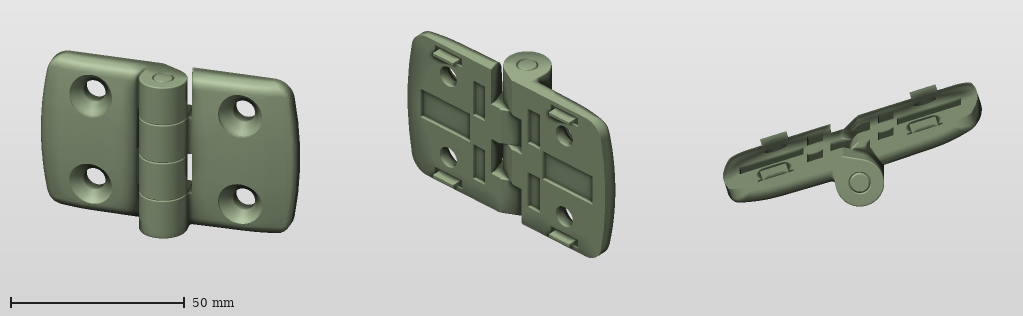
import cadquery as cq
import math

HEIGHT = 48.0
TILT = 11.6
BACK = 9.0

LEAF_REACH = 38.4
END_BOW_RADIUS = 107.15
CORNER_RADIUS = 6.1
CROWN_RADIUS = 173.25
EDGE_RADIUS = 3.95
FRONT_DEPTH = 0.8
FRONT_SLOPE = 1.2
FRONT_SWEEP_RADIUS = 50.9
END_ROUND = 1.45
PLATE_ROOT = 4.55

KNUCKLE_RADIUS = 7.0
KNUCKLE_COUNT = 4
KNUCKLE_EDGE_ROUND = 0.4
WALL_LEAN = 5
WEB_BACK_EDGE = 2.1
COVE_RADIUS = 1.1

RECESS_BACK = 5.9
RECESS_FRONT = 8.35
RECESS_CLEARANCE = 0.4
RECESS_EDGE_ROUND = 0.4

PIN_DIAMETER = 6.0
PIN_CHAMFER = 0.45
BORE_CHAMFER = 0.3

HOLE_DIAMETER = 6.6
HEAD_DIAMETER = 13.1
HEAD_DEPTH = 2.4
HOLE_U = 22.5
HOLE_Z = 14.0

POCKET_INNER = 14.05
POCKET_OUTER = 33.35
POCKET_HEIGHT = 9.8
POCKET_DEPTH = 1.2
SLOT_INNER = 8.3
SLOT_OUTER = 13.0
SLOT_LOW = 5.0
SLOT_HIGH = 17.0
RIB_Z = 21.1
RIB_LENGTH = 7.8
RIB_WIDTH = 0.9
RIB_HEIGHT = 2.35
RIB_POCKET_LENGTH = 10.65
RIB_POCKET_WIDTH = 3.0
RIB_POCKET_DEPTH = 0.75

HALF_HEIGHT = HEIGHT / 2
ROW = HEIGHT / KNUCKLE_COUNT
EXTRA = 3.8
MARGIN = 0.1
PICK_BAND = 3.05
OWN_ROWS = range(1, KNUCKLE_COUNT, 2)
OTHER_ROWS = range(0, KNUCKLE_COUNT, 2)


def box_selector(u_range, v_range, z_range):
    """Picks what has its centre inside a box."""
    return cq.selectors.BoxSelector(*zip(u_range, v_range, z_range))


def centred(middle, length):
    return (middle - length / 2, middle + length / 2)


def row_bottom(row):
    return HALF_HEIGHT - (row + 1) * ROW


def bowed_edge(bow_radius, corner_radius):
    """Corner points of a bowed edge spanning the full height.

    Distances are measured back from the crest of the bow. Returns the point where the
    bow meets the corner arc, the middle of the corner arc and its end on the side.
    """
    centre_side = HALF_HEIGHT - corner_radius
    centre_back = bow_radius - math.sqrt((bow_radius - corner_radius) ** 2 - centre_side ** 2)
    join_angle = math.asin(centre_side / (bow_radius - corner_radius))

    def on_corner(angle):
        back = centre_back - corner_radius * math.cos(angle)
        return back, centre_side + corner_radius * math.sin(angle)

    middle_angle = (join_angle + math.pi / 2) / 2
    return on_corner(join_angle), on_corner(middle_angle), on_corner(math.pi / 2)


def bowed_outline(plane, bow_radius, corner_radius, place):
    """Closed outline with a bowed, round-cornered edge; `place` maps distance back to the plane."""
    join, middle, side = bowed_edge(bow_radius, corner_radius)
    rear = HALF_HEIGHT

    def point(back, z):
        return place(back), z

    return (
        cq.Workplane(plane)
        .moveTo(*point(rear, -HALF_HEIGHT))
        .lineTo(*point(side[0], -HALF_HEIGHT))
        .threePointArc(point(middle[0], -middle[1]), point(join[0], -join[1]))
        .threePointArc(point(0, 0), point(*join))
        .threePointArc(point(*middle), point(side[0], HALF_HEIGHT))
        .lineTo(*point(rear, HALF_HEIGHT))
        .close()
    )


IN_FRONT_OF_BACK = box_selector((-HEIGHT, HEIGHT), (-HEIGHT, BACK - MARGIN), (-HEIGHT, HEIGHT))


def upright_box(u_range, v_range, z_range):
    size = [high - low for low, high in (u_range, v_range, z_range)]
    corner = (u_range[0], v_range[0], z_range[0])
    return cq.Workplane("XY").box(*size, centered=False).translate(corner)


def plate_body():
    """Plate with a crowned front, a bowed outer end and a flat back, along +U."""
    slope = math.radians(FRONT_SLOPE)
    bend = (HOLE_U, FRONT_DEPTH + HOLE_U * math.tan(slope))
    bend_centre = (
        bend[0] - FRONT_SWEEP_RADIUS * math.sin(slope),
        bend[1] + FRONT_SWEEP_RADIUS * math.cos(slope),
    )

    def on_bend(angle):
        return (
            bend_centre[0] + FRONT_SWEEP_RADIUS * math.sin(angle),
            bend_centre[1] - FRONT_SWEEP_RADIUS * math.cos(angle),
        )

    last_angle = math.asin((LEAF_REACH + EXTRA - bend_centre[0]) / FRONT_SWEEP_RADIUS)
    path = (
        cq.Workplane("XY")
        .moveTo(0, FRONT_DEPTH)
        .lineTo(*bend)
        .threePointArc(on_bend((slope + last_angle) / 2), on_bend(last_angle))
    )
    section_plane = cq.Plane(
        origin=(0, FRONT_DEPTH, 0),
        xDir=(-math.sin(slope), math.cos(slope), 0),
        normal=(math.cos(slope), math.sin(slope), 0),
    )
    section = bowed_outline(section_plane, CROWN_RADIUS, EDGE_RADIUS, lambda back: back)
    crowned = section.sweep(path)

    end_plane = cq.Plane(origin=(0, BACK, 0), xDir=(1, 0, 0), normal=(0, -1, 0))
    outline = bowed_outline(end_plane, END_BOW_RADIUS, CORNER_RADIUS, lambda back: LEAF_REACH - back)
    prism = outline.extrude(2 * BACK)
    inner = upright_box(
        (PLATE_ROOT, LEAF_REACH - HALF_HEIGHT), (-BACK, BACK), (-HALF_HEIGHT, HALF_HEIGHT)
    )
    plate = prism.union(inner).intersect(crowned)
    end_front = box_selector(centred(LEAF_REACH, PICK_BAND), (0, BACK - MARGIN), centred(0, PICK_BAND))
    return plate.edges(end_front).fillet(END_ROUND)


def slant_u(v):
    """U of the slanted end face of a recess at depth v."""
    slope = (RECESS_BACK - RECESS_FRONT) / (BACK - FRONT_DEPTH)
    return RECESS_FRONT + slope * (v - FRONT_DEPTH)


def recess_heights(row):
    """Lowest and highest Z of the recess for a knuckle of the other leaf."""
    return row_bottom(row) - RECESS_CLEARANCE, row_bottom(row) + ROW + RECESS_CLEARANCE


def recess(row):
    """Space for one knuckle of the other leaf."""
    u_far = -KNUCKLE_RADIUS - EXTRA
    v_near = -KNUCKLE_RADIUS - EXTRA
    v_far = BACK + EXTRA
    low, high = recess_heights(row)
    return (
        cq.Workplane("XY", origin=(0, 0, low))
        .moveTo(u_far, v_near)
        .lineTo(slant_u(v_near), v_near)
        .lineTo(slant_u(v_far), v_far)
        .lineTo(u_far, v_far)
        .close()
        .extrude(high - low)
    )


def barrel(bottom, height):
    """Barrel on the Z axis with a web to the back of the plate and rounded ends."""
    lean = math.radians(WALL_LEAN)
    wall_start = (KNUCKLE_RADIUS * math.cos(lean), KNUCKLE_RADIUS * math.sin(lean))
    wall_end = (wall_start[0] - (BACK - wall_start[1]) * math.tan(lean), BACK)
    web_corner = (WEB_BACK_EDGE, BACK)
    tangent_angle = math.atan2(BACK, WEB_BACK_EDGE) + math.acos(
        KNUCKLE_RADIUS / math.hypot(WEB_BACK_EDGE, BACK)
    )
    web_tangent = (KNUCKLE_RADIUS * math.cos(tangent_angle), KNUCKLE_RADIUS * math.sin(tangent_angle))
    body = (
        cq.Workplane("XY", origin=(0, 0, bottom))
        .moveTo(*wall_end)
        .lineTo(*web_corner)
        .lineTo(*web_tangent)
        .threePointArc((0, -KNUCKLE_RADIUS), wall_start)
        .close()
        .extrude(height)
    )
    return body.edges("#Z").edges(IN_FRONT_OF_BACK).fillet(KNUCKLE_EDGE_ROUND)


def recess_edges(plate):
    """Outer edges of the slanted recess ends, away from the back face."""
    picked = []
    for row in OTHER_ROWS:
        end_face = plate.faces(
            box_selector(
                (RECESS_BACK, RECESS_FRONT),
                (FRONT_DEPTH, BACK),
                centred(row_bottom(row) + ROW / 2, PICK_BAND),
            )
        )
        picked += end_face.edges(IN_FRONT_OF_BACK).vals()
    return [
        edge
        for edge in picked
        if edge.BoundingBox().zlen > MARGIN or edge.Center().z > HALF_HEIGHT - MARGIN
    ]


def recessed_plate(plate):
    """Plate cut clear of the other leaf's knuckles, with the cut ends rounded."""
    for row in OTHER_ROWS:
        plate = plate.cut(recess(row))
    return plate.newObject(recess_edges(plate)).fillet(RECESS_EDGE_ROUND)


def coved_roots(plate):
    """Plate and barrel in the leaf's own rows only, with a hollow rounding between them."""
    joined = plate.union(barrel(-HALF_HEIGHT, HEIGHT))
    junction = box_selector((RECESS_BACK, KNUCKLE_RADIUS), (FRONT_DEPTH, BACK / 2), centred(0, PICK_BAND))
    coved = joined.edges("not(|Z)").edges(junction).fillet(COVE_RADIUS)
    for row in OTHER_ROWS:
        coved = coved.cut(upright_box((-HEIGHT, HEIGHT), (-HEIGHT, HEIGHT), recess_heights(row)))
    return coved


def screw_hole(z):
    """Countersunk screw hole through the plate, opening towards the front."""
    head_radius = HEAD_DIAMETER / 2
    hole_radius = HOLE_DIAMETER / 2
    cone_end = HEAD_DEPTH + head_radius - hole_radius
    return (
        cq.Workplane("XY")
        .moveTo(0, -EXTRA)
        .lineTo(head_radius, -EXTRA)
        .lineTo(head_radius, HEAD_DEPTH)
        .lineTo(hole_radius, cone_end)
        .lineTo(hole_radius, BACK + EXTRA)
        .lineTo(0, BACK + EXTRA)
        .close()
        .revolve(360, (0, 0, 0), (0, 1, 0))
        .translate((HOLE_U, 0, z))
    )


def back_pocket(u_range, z_range, depth):
    return upright_box(u_range, (BACK - depth, BACK + EXTRA), z_range)


def leaf():
    """One leaf, lying along +U, with its knuckles."""
    plate = plate_body()
    body = recessed_plate(plate).union(coved_roots(plate))
    for row in OWN_ROWS:
        body = body.union(barrel(row_bottom(row), ROW))

    body = body.cut(cylinder(PIN_DIAMETER / 2))
    body = body.cut(bore_chamfer())

    body = body.cut(back_pocket((POCKET_INNER, POCKET_OUTER), centred(0, POCKET_HEIGHT), POCKET_DEPTH))
    for side in (1, -1):
        slot_z = sorted((side * SLOT_LOW, side * SLOT_HIGH))
        rib_z = side * RIB_Z
        body = body.cut(back_pocket((SLOT_INNER, SLOT_OUTER), slot_z, POCKET_DEPTH))
        rib_pocket_u = centred(HOLE_U, RIB_POCKET_LENGTH)
        rib_pocket_z = centred(rib_z, RIB_POCKET_WIDTH)
        body = body.cut(back_pocket(rib_pocket_u, rib_pocket_z, RIB_POCKET_DEPTH))
        rib = upright_box(
            centred(HOLE_U, RIB_LENGTH),
            (BACK - RIB_POCKET_DEPTH, BACK + RIB_HEIGHT),
            centred(rib_z, RIB_WIDTH),
        )
        body = body.union(rib)
        body = body.cut(screw_hole(side * HOLE_Z))
    return body


def cylinder(radius):
    return cq.Workplane("XY", origin=(0, 0, -HALF_HEIGHT)).circle(radius).extrude(HEIGHT)


def bore_chamfer():
    """Cone that chamfers the bore at the bottom."""
    radius = PIN_DIAMETER / 2
    lower = cq.Solid.makeCone(radius + BORE_CHAMFER, radius, BORE_CHAMFER, cq.Vector(0, 0, -HALF_HEIGHT))
    return cq.Workplane(lower)


def hinge_pin():
    return cylinder(PIN_DIAMETER / 2).edges().chamfer(PIN_CHAMFER)


axis_start = (0, 0, 0)
flat_leaf = leaf()
right_leaf = flat_leaf.rotate(axis_start, (0, 0, 1), TILT)
left_leaf = flat_leaf.rotate(axis_start, (0, 1, 0), 180).rotate(axis_start, (0, 0, 1), TILT)
pin = hinge_pin()

result = cq.Compound.makeCompound([left_leaf.solids().val(), right_leaf.solids().val(), pin.val()])